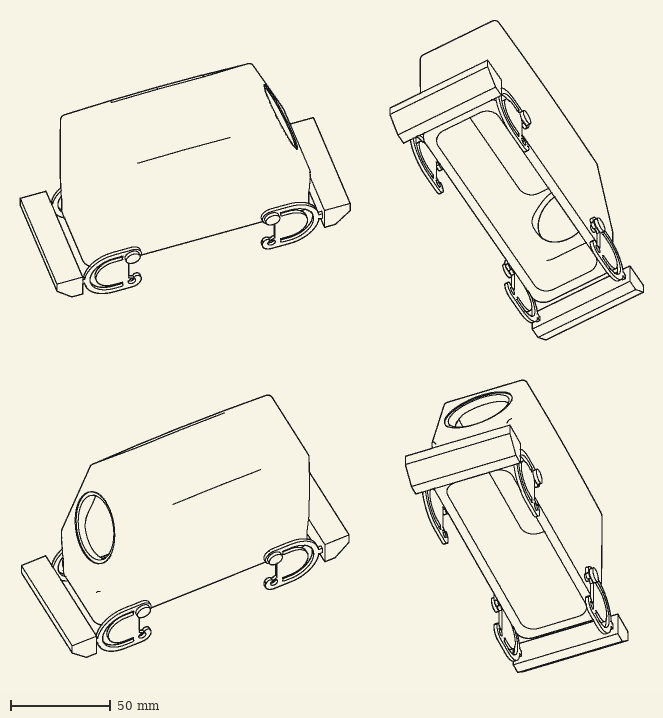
import cadquery as cq

half_width_low = 22.3
half_width_high = 22.8
half_length = 60.0
end_draft = 0.01
collar_z = 6.9
belt_z = 23.7
corner_low = 6.7
corner_belt = 3.9
corner_roof = 1.9
loft_top_z = 78.0

slope_foot = (59.7, 28.5)
slope_head = (42.7, 74.4)
slope_run = slope_foot[0] - slope_head[0]
slope_rise = slope_head[1] - slope_foot[1]
roof_crown = (-6.2, 75.8)
roof_end_z = 73.8
knee_radius = 12.5
brow_radius = 1.9
roof_end_radius = 2.8
side_fillet = 2.7

side_wall = 4.7
end_wall = 4.8
roof_wall = 4.7
cavity_corner = 7.0

entry_y = 50.9
entry_radius = 16.4
entry_rim_radius = 18.3
entry_rim_depth = 0.6
entry_depth = 15.6

plate_inner_x = 24.0
plate_thickness = 1.7
lever_z = -4.2
lever_y = 46.8
lever_radius = 15.6
slot_outer_radius = 12.6
slot_inner_radius = 9.5
slot_end_y = 43.0
web_edge_y = 38.8
hook_y = 37.1
hook_radius = 5.0
hook_hole_diameter = 3.9
tip_radius = 1.7
tip_dy = 2.7
tip_dz = 1.9
notch_depth = 2.5
neck_bottom_z = -6.0
neck_top_z = -2.3

bar_length = 57.0
bar_inner_y = 64.3
bar_outer_y = 78.0
bar_top_z = 3.9
bar_bottom_z = -10.5
bar_bevel_y = 70.0
bar_bevel_z = -2.2

pin_radius = hook_hole_diameter / 2
head_radius = 3.7
head_outer_x = 27.6
pin_inner_x = 20.3

overlap = 0.8


def rounded_loft(lower, upper):
    """Ruled solid between two levels given as (half width, corner radius, z)."""
    sections = []
    for half_x, radius, z in (lower, upper):
        length = 2 * (half_length - end_draft * z)
        outline = cq.Sketch().rect(2 * half_x, length).vertices().fillet(radius)
        sections.append(outline.moved(cq.Location(cq.Vector(0, 0, z))))
    return cq.Workplane("XY").placeSketch(*sections).loft(ruled=True)


def hood_upper():
    roof_end = (-half_length + end_draft * roof_end_z, roof_end_z)
    prism = (
        cq.Workplane("YZ")
        .moveTo(-half_length + end_draft * belt_z, belt_z)
        .lineTo(half_length - end_draft * belt_z, belt_z)
        .lineTo(*slope_foot)
        .lineTo(*slope_head)
        .threePointArc(roof_crown, roof_end)
        .close()
        .extrude(half_width_high, both=True)
    )
    for corner, radius in (
        (slope_foot, knee_radius),
        (slope_head, brow_radius),
        (roof_end, roof_end_radius),
    ):
        prism = prism.edges(cq.selectors.NearestToPointSelector((0, *corner))).fillet(radius)
    prism = prism.faces("<X or >X").edges("not <Z").fillet(side_fillet)
    drafted = rounded_loft(
        (half_width_high, corner_belt, belt_z), (half_width_high, corner_roof, loft_top_z)
    )
    return prism.intersect(drafted)


def hood_lower():
    collar = rounded_loft(
        (half_width_low, corner_low, 0), (half_width_low, corner_low, collar_z)
    )
    skirt = rounded_loft(
        (half_width_low, corner_low, collar_z), (half_width_high, corner_belt, belt_z)
    )
    return collar.union(skirt)


def cavity():
    roof_z = roof_end_z - roof_wall
    foot_y, foot_z = slope_foot
    slope_roof_y = foot_y - (roof_z - foot_z) * slope_run / slope_rise
    return (
        cq.Workplane("YZ")
        .moveTo(end_wall - foot_y, -overlap)
        .lineTo(foot_y - end_wall, -overlap)
        .lineTo(foot_y - end_wall, foot_z)
        .lineTo(slope_roof_y - end_wall, roof_z)
        .lineTo(end_wall - foot_y, roof_z)
        .close()
        .extrude(half_width_low - side_wall, both=True)
        .faces("<X or >X")
        .edges("not (<Z or >Z)")
        .fillet(cavity_corner)
    )


def cable_entry():
    entry_z = slope_foot[1] + (slope_foot[0] - entry_y) * slope_rise / slope_run
    mouth = cq.Workplane(
        cq.Plane(origin=(0, entry_y, entry_z), xDir=(1, 0, 0), normal=(0, slope_rise, slope_run))
    )
    bore = mouth.circle(entry_radius).extrude(-entry_depth)
    rim = mouth.circle(entry_rim_radius).extrude(-entry_rim_depth)
    return bore.union(rim)


def plate_layer():
    return cq.Workplane("YZ", origin=(plate_inner_x, 0, 0))


def plate_disc(y, z, radius):
    return plate_layer().center(y, z).circle(radius).extrude(plate_thickness)


def round_ended(radius, end_y):
    """D shape: round towards +Y, straight edge at end_y."""
    return (
        plate_layer()
        .moveTo(end_y, lever_z - radius)
        .lineTo(lever_y, lever_z - radius)
        .threePointArc((lever_y + radius, lever_z), (lever_y, lever_z + radius))
        .lineTo(end_y, lever_z + radius)
        .close()
        .extrude(plate_thickness)
    )


def hook(side):
    """Hooked lever end and its clearance; side is +1 for the upper and -1 for the lower one."""
    centre_z = lever_z + side * (lever_radius - hook_radius)
    disc = plate_disc(hook_y, centre_z, hook_radius)
    notch_z = centre_z - side * notch_depth
    open_z = centre_z - side * 2 * hook_radius
    opening = (
        plate_layer()
        .moveTo(hook_y, notch_z)
        .lineTo(web_edge_y, notch_z - side * (web_edge_y - hook_y) / 2)
        .lineTo(web_edge_y, open_z)
        .lineTo(hook_y - 2 * hook_radius, open_z)
        .lineTo(hook_y - 2 * hook_radius, centre_z - side * tip_dz)
        .lineTo(hook_y - tip_dy, centre_z - side * tip_dz)
        .close()
        .extrude(plate_thickness)
    )
    bridge = (
        plate_layer()
        .center((hook_y + web_edge_y) / 2, centre_z + side * hook_radius / 2)
        .rect(web_edge_y - hook_y, hook_radius)
        .extrude(plate_thickness)
    )
    tip = plate_disc(hook_y - tip_dy, centre_z - side * tip_dz, tip_radius)
    hole = plate_disc(hook_y, centre_z, hook_hole_diameter / 2)
    return disc.union(bridge).cut(opening).union(tip).cut(hole), opening.union(hole)


def lever_slot():
    end_radius = (slot_outer_radius - slot_inner_radius) / 2
    slot_middle = slot_inner_radius + end_radius
    slot = round_ended(slot_outer_radius, slot_end_y).cut(
        round_ended(slot_inner_radius, slot_end_y)
    )
    for side in (-1, 1):
        slot = slot.union(plate_disc(slot_end_y, lever_z + side * slot_middle, end_radius))
    return slot


def lever_neck():
    inner_y = lever_y + lever_radius - overlap
    return (
        cq.Workplane("XY", origin=(plate_inner_x, inner_y, neck_bottom_z))
        .box(
            plate_thickness,
            bar_inner_y - inner_y + overlap,
            neck_top_z - neck_bottom_z,
            centered=False,
        )
    )


def lever_plate():
    plate = round_ended(lever_radius, web_edge_y).cut(lever_slot())
    for side in (-1, 1):
        hook_body, hook_opening = hook(side)
        plate = plate.cut(hook_opening).union(hook_body)
    return plate.union(lever_neck())


def pivot_pin():
    pin_z = lever_z + lever_radius - hook_radius
    pin = cq.Workplane("YZ", origin=(pin_inner_x, hook_y, pin_z))
    shank = pin.circle(pin_radius).extrude(head_outer_x - pin_inner_x)
    head_length = head_outer_x - plate_inner_x - plate_thickness
    head = (
        cq.Workplane("YZ", origin=(head_outer_x, hook_y, pin_z))
        .circle(head_radius)
        .extrude(-head_length)
    )
    return shank.union(head)


def grip_bar():
    return (
        cq.Workplane("YZ")
        .moveTo(bar_inner_y, bar_bottom_z)
        .lineTo(bar_bevel_y, bar_bottom_z)
        .lineTo(bar_outer_y, bar_bevel_z)
        .lineTo(bar_outer_y, bar_top_z)
        .lineTo(bar_inner_y, bar_top_z)
        .close()
        .extrude(bar_length / 2, both=True)
    )


def lever():
    side = lever_plate().union(pivot_pin())
    return grip_bar().union(side).union(side.mirror("YZ"))


hood = hood_lower().union(hood_upper()).cut(cavity()).cut(cable_entry())
rear_lever = lever()
result = hood.union(rear_lever).union(rear_lever.mirror("XZ"))